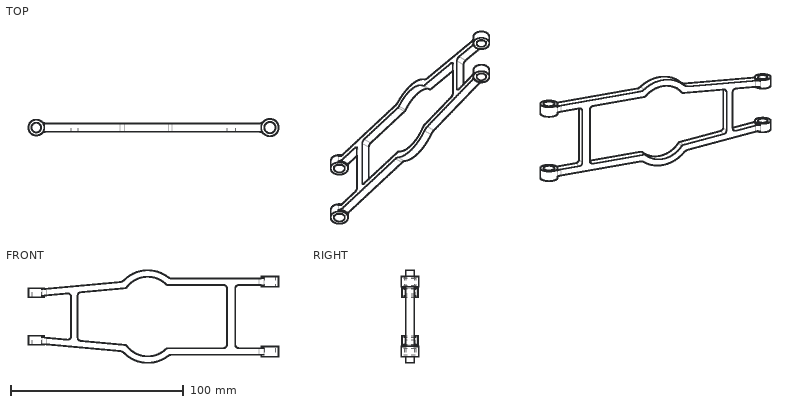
import cadquery as cq
import math

length = 145.5
height = 54.0
bar_width = 5.0
bar_height = 4.0

front_eye_radius = 4.7
front_bore_radius = 2.8
front_eye_height = 5.4
front_eye_z = 13.8
rear_eye_radius = 5.1
rear_bore_radius = 3.2
rear_eye_height = 6.1
rear_eye_z = 20.4
neck_radius = 4.0
front_eye_x = front_eye_radius
rear_eye_x = length - rear_eye_radius
arm_front_x = front_eye_x + front_bore_radius / 2
arm_rear_x = rear_eye_x - rear_bore_radius / 2

arm_start_z = 13.8
arm_slope_angle = 5.2
arm_rear_z = 20.2
bow_x = 69.4
bow_outer_radius = 19.2
bow_inner_radius = bow_outer_radius - bar_height
bow_z = height / 2 - bow_outer_radius
front_bend_outer = 4.4
front_bend_inner = 1.5
rear_bend_outer = 3.6
rear_bend_inner = 1.5

front_strut_x = 26.8
front_strut_width = 4.0
rear_strut_x = 117.9
rear_strut_width = 5.0
strut_fillet = 1.9
corner_margin = 0.3


def arm_edge_points(side, radius):
    """Front end and both bow ends of one arm edge; side is +1 outer, -1 inner."""
    slope = math.radians(arm_slope_angle)
    rear_z = arm_rear_z + side * bar_height / 2
    rear_x = bow_x + math.sqrt(radius**2 - (rear_z - bow_z) ** 2)
    start_z = arm_start_z + side * bar_height / 2 / math.cos(slope)
    rise = start_z + (bow_x - arm_front_x) * math.tan(slope) - bow_z
    distance = rise * math.cos(slope)
    half_chord = math.sqrt(radius**2 - distance**2)
    front_x = bow_x - distance * math.sin(slope) - half_chord * math.cos(slope)
    front_z = bow_z + distance * math.cos(slope) - half_chord * math.sin(slope)
    return (arm_front_x, start_z), (front_x, front_z), (rear_x, rear_z)


def fillet_across(body, point, radius):
    """Round the edge along Y that passes through an XZ point."""
    x, z = point
    edge = cq.selectors.NearestToPointSelector((x, 0, z))
    return body.edges("|Y").edges(edge).fillet(radius)


def arm_side():
    """Upper arm seen along Y, wider than any of its eyes."""
    outer_start, outer_front, outer_rear = arm_edge_points(1, bow_outer_radius)
    inner_start, inner_front, inner_rear = arm_edge_points(-1, bow_inner_radius)
    body = (
        cq.Workplane("XZ")
        .moveTo(*outer_start)
        .lineTo(*outer_front)
        .threePointArc((bow_x, bow_z + bow_outer_radius), outer_rear)
        .lineTo(arm_rear_x, outer_rear[1])
        .lineTo(arm_rear_x, inner_rear[1])
        .lineTo(*inner_rear)
        .threePointArc((bow_x, bow_z + bow_inner_radius), inner_front)
        .lineTo(*inner_start)
        .close()
        .extrude(rear_eye_radius + bar_width, both=True)
    )
    body = fillet_across(body, outer_front, front_bend_outer)
    body = fillet_across(body, inner_front, front_bend_inner)
    body = fillet_across(body, outer_rear, rear_bend_outer)
    return fillet_across(body, inner_rear, rear_bend_inner)


def neck(eye_x, eye_radius, toward):
    """Half outline of a neck: eye centre, tangent point, arc middle, bar edge."""
    fillet_y = bar_width / 2 + neck_radius
    fillet_dx = math.sqrt((eye_radius + neck_radius) ** 2 - fillet_y**2)
    angle = math.atan2(fillet_y, fillet_dx)
    tangent = (eye_radius * math.cos(angle), eye_radius * math.sin(angle))
    middle_angle = (angle + math.pi / 2) / 2
    middle = (
        fillet_dx - neck_radius * math.cos(middle_angle),
        fillet_y - neck_radius * math.sin(middle_angle),
    )
    offsets = ((0, 0), tangent, middle, (fillet_dx, bar_width / 2))
    return [(eye_x + toward * dx, dy) for dx, dy in offsets]


def arm_plan():
    """Bar seen along Z, flaring at both ends to meet the eyes tangentially."""
    front_center, front_tangent, front_middle, front_edge = neck(front_eye_x, front_eye_radius, 1)
    rear_center, rear_tangent, rear_middle, rear_edge = neck(rear_eye_x, rear_eye_radius, -1)
    half = (
        cq.Workplane("XY")
        .moveTo(*front_center)
        .lineTo(*front_tangent)
        .threePointArc(front_middle, front_edge)
        .lineTo(*rear_edge)
        .threePointArc(rear_middle, rear_tangent)
        .lineTo(*rear_center)
        .close()
        .extrude(height)
    )
    return half.union(half.mirror("XZ"))


def eye(x, z, radius, eye_height):
    return (
        cq.Workplane("XY", origin=(x, 0, z - eye_height / 2))
        .circle(radius)
        .extrude(eye_height)
    )


def strut(x, width, reach):
    return cq.Workplane("XY").box(width, bar_width, 2 * reach).translate((x, 0, 0))


def strut_corners(x, width):
    """Box around the four inside corners of a strut."""
    half = width / 2 + corner_margin
    return cq.selectors.BoxSelector((x - half, -bar_width, -height), (x + half, bar_width, height))


arm = arm_side().intersect(arm_plan())
arm = arm.union(eye(front_eye_x, front_eye_z, front_eye_radius, front_eye_height))
arm = arm.union(eye(rear_eye_x, rear_eye_z, rear_eye_radius, rear_eye_height))
result = arm.union(arm.mirror("XY"))

front_reach = arm_start_z + (front_strut_x - arm_front_x) * math.tan(math.radians(arm_slope_angle))
struts = (
    (front_strut_x, front_strut_width, front_reach),
    (rear_strut_x, rear_strut_width, arm_rear_z),
)
for x, width, reach in struts:
    result = result.union(strut(x, width, reach))
    result = result.edges("|Y").edges(strut_corners(x, width)).fillet(strut_fillet)

for x, radius in ((front_eye_x, front_bore_radius), (rear_eye_x, rear_bore_radius)):
    bore = cq.Workplane("XY").center(x, 0).circle(radius).extrude(height / 2, both=True)
    result = result.cut(bore)